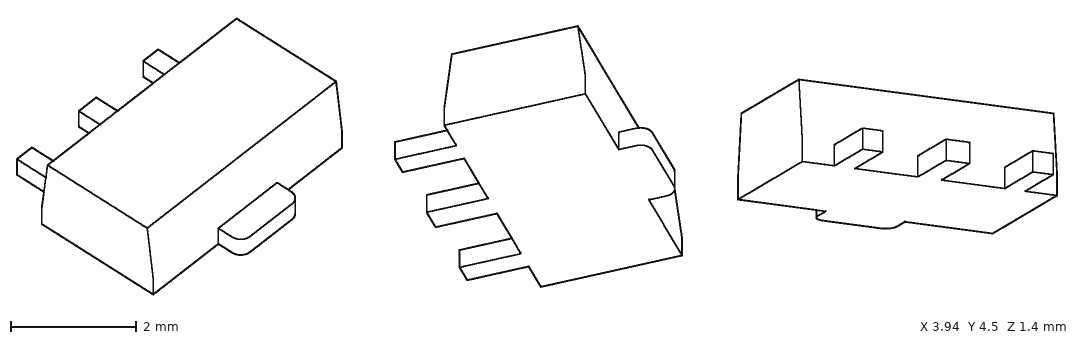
import cadquery as cq
import math

total_length = 3.94
body_length = 4.5
body_height = 1.4

body_width = 2.4
draft_angle = 7.0

frame_thickness = 0.35
tab_length = 0.5
tab_width = 1.4
tab_corner_radius = 0.2
outer_lead_width = 0.36
middle_lead_width = 0.42
lead_pitch = 1.505

lead_length = total_length - body_width - tab_length
half_width = body_width / 2
top_inset = (body_height - frame_thickness) * math.tan(math.radians(draft_angle))


def make_body():
    """Body cross-section in XZ, extruded along Y and centred on Y = 0."""
    half_top = half_width - top_inset
    outline = [
        (-half_width, 0),
        (half_width, 0),
        (half_width, frame_thickness),
        (half_top, body_height),
        (-half_top, body_height),
        (-half_width, frame_thickness),
    ]
    return cq.Workplane("XZ").polyline(outline).close().extrude(body_length / 2, both=True)


def make_lead(y_center, width):
    """Flat lead reaching from the body's centre plane out to the -X side."""
    length = half_width + lead_length
    lead = cq.Workplane("XY").box(length, width, frame_thickness, centered=(False, True, False))
    return lead.translate((-length, y_center, 0))


def make_tab():
    """Heat tab reaching from the body's centre plane out to +X, outer corners rounded."""
    length = half_width + tab_length
    tab = cq.Workplane("XY").box(length, tab_width, frame_thickness, centered=(False, True, False))
    return tab.faces(">X").edges("|Z").fillet(tab_corner_radius)


result = make_body().union(make_tab())
for y_center, width in (
    (-lead_pitch, outer_lead_width),
    (0, middle_lead_width),
    (lead_pitch, outer_lead_width),
):
    result = result.union(make_lead(y_center, width))